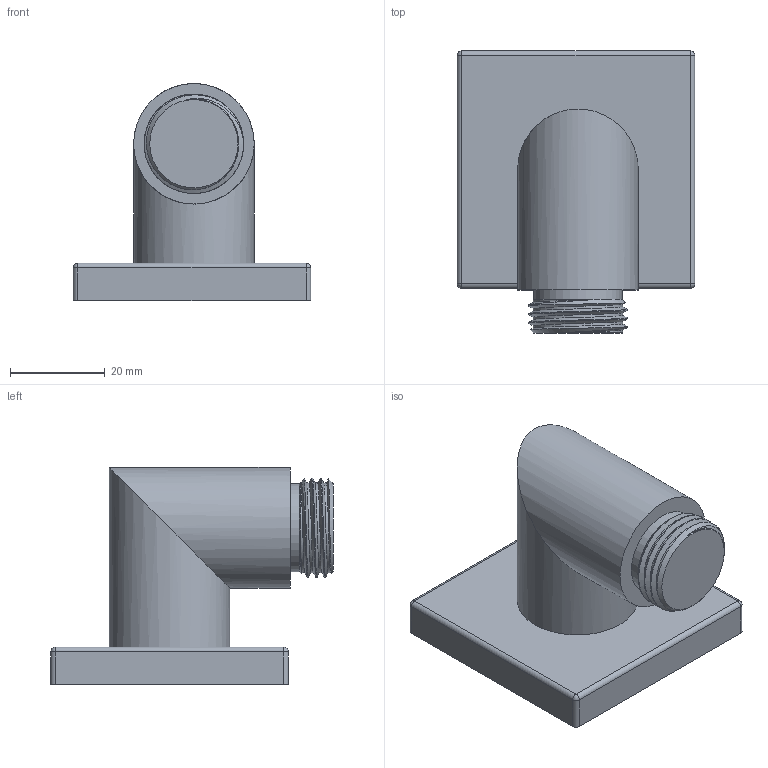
import cadquery as cq

PLATE_SIDE = 50.04
PLATE_THICKNESS = 7.87
PLATE_EDGE_RADIUS = 1.0

TUBE_RADIUS = 12.7
TOTAL_HEIGHT = 45.72
ARM_LENGTH = 25.4
TUBE_OFFSET_X = 0.4
ARM_AXIS_HEIGHT = TOTAL_HEIGHT - TUBE_RADIUS

NIPPLE_LENGTH = 9.07
NECK_LENGTH = 1.95
NECK_RADIUS = 9.3
THREAD_ROOT_RADIUS = 9.45
THREAD_CREST_RADIUS = 10.48
THREAD_PITCH = 1.814
RIDGE_ROOT_WIDTH = 1.25
RIDGE_CREST_WIDTH = 0.2
RIDGE_EMBED = 0.2
ENVELOPE_CLEARANCE = 0.5
RIDGE_START = 0.54
RIDGE_TURNS = 6


def make_plate():
    plate = cq.Workplane("XY").box(PLATE_SIDE, PLATE_SIDE, PLATE_THICKNESS, centered=(True, True, False))
    return plate.edges("|Z or >Z").fillet(PLATE_EDGE_RADIUS)


def side_prism(points):
    """Extrude a YZ outline across the full width of the tube."""
    return cq.Workplane("YZ").polyline(points).close().extrude(TUBE_RADIUS, both=True)


def make_elbow():
    """Stem and arm, each trimmed by the 45 degree mitre plane through both axes."""
    outer_corner = (TUBE_RADIUS, TOTAL_HEIGHT)
    inner_corner = (-TUBE_RADIUS, ARM_AXIS_HEIGHT - TUBE_RADIUS)
    stem_side = side_prism([outer_corner, inner_corner, (-TUBE_RADIUS, 0), (TUBE_RADIUS, 0)])
    arm_side = side_prism(
        [outer_corner, inner_corner, (-ARM_LENGTH, inner_corner[1]), (-ARM_LENGTH, TOTAL_HEIGHT)]
    )
    stem = cq.Workplane("XY").circle(TUBE_RADIUS).extrude(TOTAL_HEIGHT).intersect(stem_side)
    arm = (
        cq.Workplane("XZ", origin=(0, TUBE_RADIUS, ARM_AXIS_HEIGHT))
        .circle(TUBE_RADIUS)
        .extrude(TUBE_RADIUS + ARM_LENGTH)
        .intersect(arm_side)
    )
    return stem.union(arm)


def make_thread_envelope():
    """Solid with 45 degree chamfers at both ends that bounds the thread, along +Z."""
    outer_radius = THREAD_CREST_RADIUS + ENVELOPE_CLEARANCE
    chamfer = outer_radius - NECK_RADIUS
    outline = [
        (0, NECK_LENGTH),
        (NECK_RADIUS, NECK_LENGTH),
        (outer_radius, NECK_LENGTH + chamfer),
        (outer_radius, NIPPLE_LENGTH - chamfer),
        (NECK_RADIUS, NIPPLE_LENGTH),
        (0, NIPPLE_LENGTH),
    ]
    return cq.Workplane("XZ").polyline(outline).close().revolve(360, (0, 0, 0), (0, 1, 0))


def make_thread_ridge():
    """Helical ridge of trapezoidal section around +Z."""
    helix = cq.Wire.makeHelix(
        THREAD_PITCH, RIDGE_TURNS * THREAD_PITCH, THREAD_ROOT_RADIUS, center=cq.Vector(0, 0, RIDGE_START)
    )
    half_crest = RIDGE_CREST_WIDTH / 2
    half_root = RIDGE_ROOT_WIDTH / 2
    flank_slope = (half_root - half_crest) / (THREAD_CREST_RADIUS - THREAD_ROOT_RADIUS)
    inner_radius = THREAD_ROOT_RADIUS - RIDGE_EMBED
    half_inner = half_root + RIDGE_EMBED * flank_slope
    section = [
        (inner_radius, RIDGE_START - half_inner),
        (THREAD_CREST_RADIUS, RIDGE_START - half_crest),
        (THREAD_CREST_RADIUS, RIDGE_START + half_crest),
        (inner_radius, RIDGE_START + half_inner),
    ]
    return cq.Workplane("XZ").polyline(section).close().sweep(cq.Workplane(obj=helix), isFrenet=True)


def make_nipple():
    """Neck and thread, built along +Z and then turned to point to -Y at the arm end."""
    neck = cq.Workplane("XY").circle(NECK_RADIUS).extrude(NIPPLE_LENGTH)
    core = cq.Workplane("XY").circle(THREAD_ROOT_RADIUS).extrude((RIDGE_TURNS + 1) * THREAD_PITCH)
    thread = core.union(make_thread_ridge()).intersect(make_thread_envelope())
    nipple = neck.union(thread)
    return nipple.rotate((0, 0, 0), (1, 0, 0), 90).translate((0, -ARM_LENGTH, ARM_AXIS_HEIGHT))


elbow = make_elbow().union(make_nipple()).translate((TUBE_OFFSET_X, 0, 0))
result = make_plate().union(elbow)